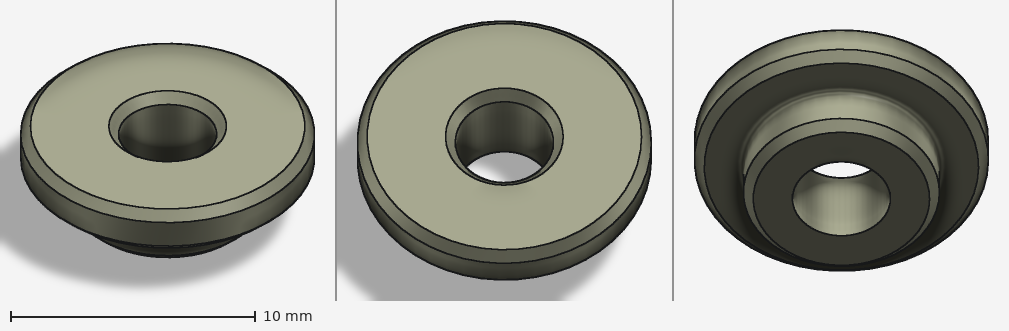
import cadquery as cq

flange_diameter = 12.0
boss_diameter = flange_diameter * 2 / 3
bore_diameter = flange_diameter / 3
total_height = flange_diameter / 3
flange_thickness = total_height / 2
edge_chamfer = total_height / 10
neck_fillet = 0.3

flange_radius = flange_diameter / 2
boss_radius = boss_diameter / 2
bore_radius = bore_diameter / 2
boss_height = total_height - flange_thickness

section = (
    cq.Workplane("XZ")
    .moveTo(bore_radius, 0)
    .lineTo(boss_radius - edge_chamfer, 0)
    .lineTo(boss_radius, edge_chamfer)
    .lineTo(boss_radius, boss_height - neck_fillet)
    .radiusArc((boss_radius + neck_fillet, boss_height), neck_fillet)
    .lineTo(flange_radius - edge_chamfer, boss_height)
    .lineTo(flange_radius, boss_height + edge_chamfer)
    .lineTo(flange_radius, total_height - edge_chamfer)
    .lineTo(flange_radius - edge_chamfer, total_height)
    .lineTo(bore_radius + edge_chamfer, total_height)
    .lineTo(bore_radius, total_height - edge_chamfer)
    .close()
)

result = section.revolve(360, (0, 0, 0), (0, 1, 0))